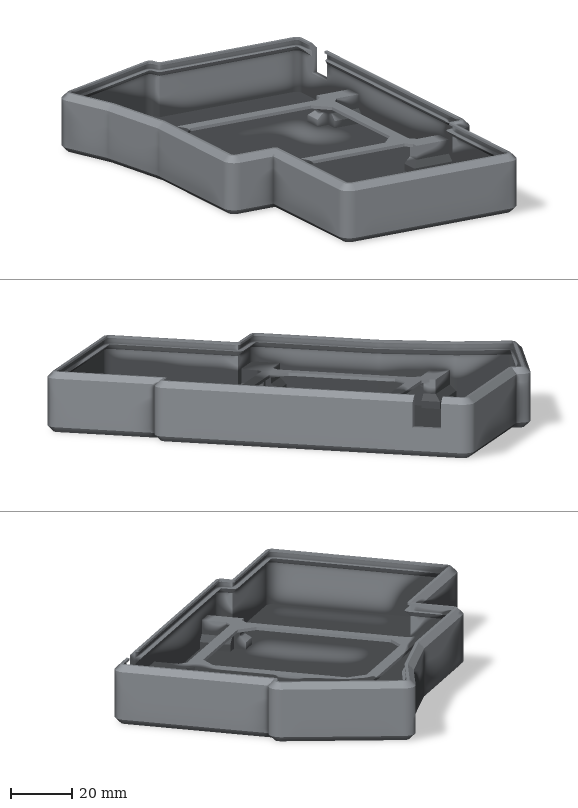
import cadquery as cq
import math

height = 20.0
corner_radius = 4.0
bend_radius = 4.0
edge_chamfer = 2.0
wall = 2.0
floor = 1.2

right_wall_x = 146.0
back_step_x = 108.2
back_step_y = -5.1
front_step_x = 101.2
front_step_y = -72.3
front_wall_y = -88.9

first_bend_x = 56.3
second_bend_x = 31.8
first_bend_angle = math.radians(10)
foot_angle = math.radians(20)
left_tip_x = -3.5
front_tip_y = -99.4

lip_reach = 1.0
lip_thickness = 0.7
shelf_reach = 2.0
shelf_depth = 2.7

notch_left = 10.2
notch_right = 19.7
notch_bottom = 9.7

tray_center_x = 64.5
tray_center_y = -44.4
window_x = 46.0
window_y = 55.9
window_corner = 5.0
tray_bar = 4.0
tray_thickness = 1.0
leg_width = 10.3
wide_leg_width = 18.0
leg_length = 29.9
leg_base_height = 2.4
leg_post_height = 4.8
leg_step = 2.1

shelf_z = height - shelf_depth
leg_height = leg_base_height + leg_step + leg_post_height
tray_top = floor + leg_height
tray_x = window_x + 2 * tray_bar
tray_y = window_y + 2 * tray_bar


def rounded_outline(corners):
    """Closed wire through (x, y, radius) corners, with a tangent arc wherever radius > 0."""
    stretches = []
    for i, (x, y, radius) in enumerate(corners):
        before = cq.Vector(*corners[i - 1][:2])
        after = cq.Vector(*corners[(i + 1) % len(corners)][:2])
        corner = cq.Vector(x, y)
        if radius == 0:
            stretches.append([corner])
            continue
        to_before = (before - corner).normalized()
        to_after = (after - corner).normalized()
        half_angle = to_before.getAngle(to_after) / 2
        setback = radius / math.tan(half_angle)
        bisector = (to_before + to_after).normalized()
        arc_middle = corner + bisector * (radius / math.sin(half_angle) - radius)
        stretches.append([corner + to_before * setback, arc_middle, corner + to_after * setback])

    start = stretches[0][-1]
    path = cq.Workplane("XY").moveTo(start.x, start.y)
    for stretch in stretches[1:] + stretches[:1]:
        path = path.lineTo(stretch[0].x, stretch[0].y)
        if len(stretch) == 3:
            path = path.threePointArc(stretch[1].toTuple()[:2], stretch[2].toTuple()[:2])
    return path.close()


def case_outline():
    along = cq.Vector(math.cos(foot_angle), math.sin(foot_angle))
    across = cq.Vector(-along.y, along.x)

    second_bend_y = front_wall_y - (first_bend_x - second_bend_x) * math.tan(first_bend_angle)
    front_center_y = front_tip_y + corner_radius
    tangent_y = front_center_y - corner_radius * along.x
    tangent_x = second_bend_x - (second_bend_y - tangent_y) / math.tan(foot_angle)
    front_center = cq.Vector(tangent_x - corner_radius * along.y, front_center_y)
    rear_center_x = left_tip_x + corner_radius
    foot_side = (front_center.x - rear_center_x) / along.y
    rear_center = front_center + across * foot_side

    foot_front = front_center - (along + across) * corner_radius
    foot_rear = rear_center + (across - along) * corner_radius
    foot_inner_y = foot_rear.y - foot_rear.x * math.tan(foot_angle)

    return rounded_outline([
        (0, 0, corner_radius),
        (back_step_x, 0, corner_radius),
        (back_step_x, back_step_y, 0),
        (right_wall_x, back_step_y, corner_radius),
        (right_wall_x, front_step_y, corner_radius),
        (front_step_x, front_step_y, 0),
        (front_step_x, front_wall_y, corner_radius),
        (first_bend_x, front_wall_y, bend_radius),
        (second_bend_x, second_bend_y, bend_radius),
        (foot_front.x, foot_front.y, corner_radius),
        (foot_rear.x, foot_rear.y, corner_radius),
        (0, foot_inner_y, 0),
    ])


def cavity_outline():
    return case_outline().offset2D(-wall, "intersection")


def opening(reach, bottom, top):
    """Vertical hole through the rim, narrower than the cavity by reach all round."""
    outline = cavity_outline().offset2D(-reach, "arc") if reach else cavity_outline()
    return outline.extrude(top - bottom).translate((0, 0, bottom))


def shelf_underside():
    """Cavity space that narrows at 45 degrees up to the shelf edge."""
    space = cavity_outline().extrude(shelf_reach, taper=45)
    return space.translate((0, 0, shelf_z - shelf_reach))


def make_case():
    body = case_outline().extrude(height).faces("<Z or >Z").chamfer(edge_chamfer)
    body = body.cut(opening(0, floor, shelf_z - shelf_reach))
    body = body.cut(shelf_underside())
    body = body.cut(opening(0, shelf_z, height - lip_thickness))
    return body.cut(opening(lip_reach, height - lip_thickness, height))


def cut_notch(case):
    """Square notch through the wall, with the shelf ends below the lip cut back at 45 degrees."""
    notch_width = notch_right - notch_left
    cut_depth = wall + shelf_reach
    lip_z = height - lip_thickness
    slot = cq.Workplane("XY", origin=(notch_left, -cut_depth, notch_bottom)).box(
        notch_width, cut_depth, height - notch_bottom, centered=False
    )
    flare = (
        cq.Workplane("XY", origin=(0, 0, notch_bottom))
        .moveTo(notch_left, -wall)
        .lineTo(notch_right, -wall)
        .lineTo(notch_right + shelf_reach, -cut_depth)
        .lineTo(notch_left - shelf_reach, -cut_depth)
        .close()
        .extrude(lip_z - notch_bottom)
    )
    return case.cut(slot).cut(flare)


def leg_block(full_width, inset, bottom, rise):
    """Block at the +X +Y tray corner, drawn in by inset on every side."""
    width = full_width - 2 * inset
    length = leg_length - 2 * inset
    corner = (window_x / 2 + inset, window_y / 2 + inset, bottom)
    return cq.Workplane("XY", origin=corner).box(width, length, rise, centered=False)


def make_leg(width):
    """Stepped leg, cut clear of the space under the tray."""
    base_rise = leg_base_height + leg_step
    base = leg_block(width, 0, floor, base_rise).faces(">Z").chamfer(leg_step)
    leg = base.union(leg_block(width, leg_step, floor + base_rise, leg_post_height))
    return leg.cut(cq.Workplane("XY").box(tray_x, tray_y, 2 * height))


def make_gussets():
    """Triangles that tie the tray corner to the near and the left side of the leg post."""
    post_left = window_x / 2 + leg_step
    post_near = window_y / 2 + leg_step
    edge_x = tray_x / 2
    edge_y = tray_y / 2
    side = [(edge_x, post_near), (edge_x + leg_step, post_near), (edge_x, post_near - leg_step)]
    back = [(post_left, edge_y), (post_left, edge_y + leg_step), (post_left - leg_step, edge_y)]
    plane = cq.Workplane("XY", origin=(0, 0, tray_top - tray_thickness))
    return plane.polyline(side).close().polyline(back).close().extrude(tray_thickness)


def make_tray():
    window = cq.Workplane("XY").rect(window_x, window_y).extrude(tray_thickness)
    window = window.edges("|Z").chamfer(window_corner)
    ring = cq.Workplane("XY").rect(tray_x, tray_y).extrude(tray_thickness).cut(window)
    tray = ring.translate((0, 0, tray_top - tray_thickness))

    leg = make_leg(leg_width).union(make_gussets())
    wide_leg = make_leg(wide_leg_width).union(make_gussets())
    for corner in (
        leg,
        leg.mirror("YZ"),
        leg.mirror("YZ").mirror("XZ"),
        wide_leg.mirror("XZ"),
    ):
        tray = tray.union(corner)
    tray = tray.translate((tray_center_x, tray_center_y, 0))

    cavity = opening(0, floor, height)
    return tray.intersect(cavity)


result = cut_notch(make_case()).union(make_tray())